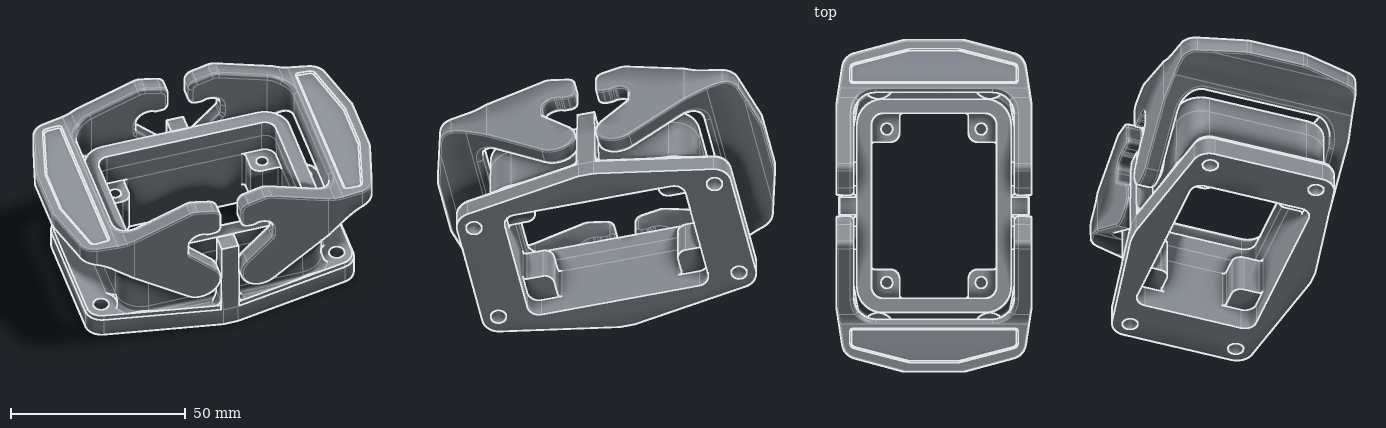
import cadquery as cq
import math

plate_half_length = 40.1
plate_half_width = 27.2
plate_end_half_width = 20.4
plate_corner_radius = 4.9
plate_height = 7.2
bevel_height = 1.1
plate_edge_height = plate_height - bevel_height
bevel_angle = 26.6
mount_x = 16.0
mount_y = 35.2
mount_hole_diameter = 4.5
spotface_radius = 4.7

housing_half_width = 22.0
housing_half_length = 30.5
housing_corner_radius = 7.4
housing_height = 30.8
draft_top = 25.6
draft_angle = 0.6
foot_radius = 1.9

cavity_half_width = 17.9
cavity_half_length = 26.4
cavity_corner_radius = 3.3
post_inner_x = 9.8
post_inner_y = 18.1
post_corner_radius = 2.8
post_root_radius = 0.95
post_bottom = 7.1
post_top = 19.7
post_hole_x = 13.5
post_hole_y = 21.9
post_hole_diameter = 3.3
post_hole_depth = 9.5

rib_half_thickness = 2.8
rib_height = 30.6
rib_face_half_width = 2.2

lever_width = 56.0
lever_half_width = lever_width / 2
lever_half_gap = 22.9
lever_end = 47.5
lever_tip = 3.0
taper_start = 29.0
handle_corner_x = 25.8
handle_corner_y = 42.8
handle_corner_radius = 4.9
handle_flat_half_width = 8.55
bridge_inner_y = 32.4
bridge_inner_radius = 6.2
pivot_z = 20.0
pivot_radius = 6.1
pivot_pin_diameter = 6.65
arm_angle = 37.2
slot_angle = 45.5
slot_end = 12.6
slot_end_radius = 3.6
slot_roof = 39.3
hook_bottom = 38.8
apex_y = 11.1
apex_z = 49.2
valley_y = 32.3
valley_z = 41.4
handle_top = 40.5
handle_bottom = 35.3
underside_bend_radius = 15.2
valley_radius = 9.5
apex_radius = 3.8
hook_top_corner = 47.2
hook_top_radius = 2.85
hook_bottom_radius = 2.1
hook_step_start = 7.0
hook_step_end = 8.3
hook_step_radius = 1.4
slot_heel_radius = 1.2
handle_flat_radius = 4.75
outer_rim_radius = 0.5
inner_rim_radius = 1.1

recess_depth = 0.5
recess_wall_angle = 45.0
recess_start = 35.0
recess_end = 44.8
recess_corner_y = 40.5
recess_half_width = 24.0
recess_flat_half_width = 7.1
recess_inner_radius = 0.95
recess_outer_radius = 1.7

tolerance = 0.01


def rounded_outline(plane, corners):
    """Closed outline through (u, v, radius) corners, each rounded by a tangent arc."""
    stops = []
    for i, (u, v, radius) in enumerate(corners):
        corner = cq.Vector(u, v)
        back = (cq.Vector(*corners[i - 1][:2]) - corner).normalized()
        ahead = (cq.Vector(*corners[(i + 1) % len(corners)][:2]) - corner).normalized()
        half_angle = back.getAngle(ahead) / 2
        setback = radius / math.tan(half_angle)
        apex_distance = radius / math.sin(half_angle) - radius
        middle = corner + (back + ahead).normalized() * apex_distance
        stops.append((corner + back * setback, middle, corner + ahead * setback, radius))
    outline = cq.Workplane(plane).moveTo(*stops[0][2].toTuple()[:2])
    here = stops[0][2]
    for start, middle, end, radius in stops[1:] + stops[:1]:
        if (start - here).Length > tolerance:
            outline = outline.lineTo(start.x, start.y)
        if radius > 0:
            outline = outline.threePointArc((middle.x, middle.y), (end.x, end.y))
        here = end
    return outline.close()


def mirrored(right):
    """Corners of a left-right symmetric outline, from its right half listed upwards."""
    return right + [(-u, v, radius) for u, v, radius in reversed(right)]


def four_fold(quarter):
    """Corners of a doubly symmetric outline, from its first quarter listed from +X to +Y."""
    return mirrored([(u, -v, radius) for u, v, radius in reversed(quarter)] + quarter)


def rounded_block(half_x, half_y, radius, bottom, top):
    block = cq.Workplane().workplane(offset=bottom).rect(2 * half_x, 2 * half_y).extrude(top - bottom)
    return block.edges("|Z").fillet(radius)


def four_corners(x, y):
    return [(x, y), (-x, y), (x, -y), (-x, -y)]


def plate_outline():
    return rounded_outline("XY", four_fold([
        (plate_half_width, rib_face_half_width, 0),
        (plate_end_half_width, plate_half_length, plate_corner_radius),
    ]))


def make_ribs():
    """One drafted bar across the part; the opening later splits it into two ribs."""
    bar = (
        cq.Workplane().workplane(offset=plate_edge_height)
        .rect(2 * plate_half_width, 2 * rib_half_thickness)
        .extrude(rib_height - plate_edge_height, taper=draft_angle)
    )
    return bar.intersect(plate_outline().extrude(rib_height))


def make_base():
    """Bevelled plate, housing and ribs, with a foot fillet that stops at the plate edge."""
    plate = plate_outline().extrude(plate_edge_height)
    bevel = plate_outline().extrude(bevel_height, taper=bevel_angle).translate((0, 0, plate_edge_height))

    upper = rounded_block(
        housing_half_width, housing_half_length, housing_corner_radius, draft_top, housing_height
    )
    lower = drafted_skirt(upper, draft_top - plate_height)
    ground = cq.Workplane().rect(3 * plate_half_width, 3 * plate_half_length).extrude(plate_height)
    ribs = make_ribs()
    foot = ground.union(upper).union(lower).union(ribs)
    ground_face = foot.faces(cq.selectors.NearestToPointSelector((0, 0, plate_height)))
    foot = ground_face.edges("not(<X or >X or <Y or >Y)").fillet(foot_radius)
    keep = plate_outline().offset2D(-bevel_height * math.tan(math.radians(bevel_angle)))
    foot = foot.intersect(keep.extrude(2 * housing_height))

    clearance = (
        cq.Workplane().workplane(offset=plate_height)
        .pushPoints(four_corners(mount_x, mount_y)).circle(spotface_radius).extrude(foot_radius)
    )
    return plate.union(bevel).union(foot).cut(clearance).union(ribs)


def drafted_skirt(block, height):
    """Walls of the block continued downwards, spreading with the draft."""
    return (
        block.faces("<Z").wires().toPending().workplane()
        .extrude(height, combine=False, taper=-draft_angle)
    )


def make_cavity():
    """Opening through the housing that leaves four corner posts standing on its walls."""
    mouth = rounded_block(
        cavity_half_width, cavity_half_length, cavity_corner_radius, draft_top, housing_height
    )
    drafted_depth = draft_top - post_top
    spread = drafted_depth * math.tan(math.radians(draft_angle))
    half_width = cavity_half_width + spread
    half_length = cavity_half_length + spread
    between_posts = rounded_outline("XY", four_fold([
        (half_width, post_inner_y, post_root_radius),
        (post_inner_x, post_inner_y, post_corner_radius),
        (post_inner_x, half_length, post_root_radius),
    ])).extrude(post_top)
    below_posts = rounded_block(half_width, half_length, cavity_corner_radius + spread, 0, post_bottom)
    return mouth.union(drafted_skirt(mouth, drafted_depth)).union(between_posts).union(below_posts)


def lever_side():
    """Lever seen along X: hook above, slot between, pivot end below and handle at the far end."""
    arm = math.radians(arm_angle)
    slot = math.radians(slot_angle)
    pivot_low = pivot_z - pivot_radius * math.tan((math.pi / 2 + arm) / 2)
    pivot_high = pivot_z + pivot_radius * math.tan((math.pi / 2 - slot) / 2)
    reach = (handle_bottom - pivot_low) / math.tan(arm)
    slot_rise = (slot_end - lever_tip) * math.tan(slot)
    return rounded_outline("YZ", [
        (lever_tip, pivot_low, pivot_radius),
        (lever_tip + reach, handle_bottom, underside_bend_radius),
        (lever_end, handle_bottom, 0),
        (lever_end, handle_top, 0),
        (valley_y, valley_z, valley_radius),
        (apex_y, apex_z, apex_radius),
        (lever_tip, hook_top_corner, hook_top_radius),
        (lever_tip, hook_bottom, hook_bottom_radius),
        (hook_step_start, hook_bottom, hook_step_radius),
        (hook_step_end, slot_roof, hook_step_radius),
        (slot_end, slot_roof, slot_end_radius),
        (slot_end, pivot_high + slot_rise, slot_heel_radius),
        (lever_tip, pivot_high, pivot_radius),
    ])


def lever_plan():
    """Lever seen from above: two arms joined by the tapered handle."""
    right = [
        (lever_half_gap, bridge_inner_y, bridge_inner_radius),
        (lever_half_gap, 0, 0),
        (lever_half_width, 0, 0),
        (lever_half_width, taper_start, 0),
        (handle_corner_x, handle_corner_y, handle_corner_radius),
        (handle_flat_half_width, lever_end, handle_flat_radius),
    ]
    return rounded_outline("XY", mirrored(right))


def runs_along(edge, direction):
    return abs(edge.tangentAt(0.5).dot(direction)) > 0.95 - tolerance


def is_inner_rim(edge):
    """Edges around the inner faces of the arms and bridge, without the seams beside the corner arcs."""
    middle = edge.positionAt(0.5)
    inside = abs(middle.x) < lever_half_gap + tolerance and middle.y < bridge_inner_y + tolerance
    near_corner = middle.y > bridge_inner_y - bridge_inner_radius - tolerance
    seam = runs_along(edge, cq.Vector(0, 0, 0.95)) and near_corner
    return inside and not seam


def is_outer_rim(edge):
    """Edges around the outer faces, without the upright seams and the lines running across the lever."""
    middle = edge.positionAt(0.5)
    if runs_along(edge, cq.Vector(0, 0, 0.95)) and middle.y > taper_start - tolerance:
        return False
    if runs_along(edge, cq.Vector(0.95, 0, 0)):
        return middle.y > lever_end - tolerance
    return not is_inner_rim(edge)


def make_recess():
    slope = math.atan2(valley_z - handle_top, lever_end - valley_y)
    handle_plane = cq.Plane(
        origin=(0, lever_end, handle_top), xDir=(1, 0, 0), normal=(0, math.sin(slope), math.cos(slope))
    )
    start = recess_start - lever_end
    right = [
        (recess_half_width, start, recess_inner_radius),
        (recess_half_width, recess_corner_y - lever_end, recess_outer_radius),
        (recess_flat_half_width, recess_end - lever_end, 0),
    ]
    return rounded_outline(handle_plane, mirrored(right)).extrude(-recess_depth, taper=recess_wall_angle)


def make_lever():
    lever = lever_side().extrude(lever_half_width, both=True).intersect(lever_plan().extrude(2 * apex_z))
    lever = lever.edges().filter(is_inner_rim).fillet(inner_rim_radius)
    lever = lever.edges().filter(is_outer_rim).fillet(outer_rim_radius)
    return lever.cut(make_recess())


def make_pivot_pins():
    pivot_y = lever_tip + pivot_radius
    span = lever_half_width + lever_half_gap
    return (
        cq.Workplane("YZ").pushPoints([(pivot_y, pivot_z), (-pivot_y, pivot_z)])
        .circle(pivot_pin_diameter / 2).extrude(span / 2, both=True)
    )


mount_holes = (
    cq.Workplane().pushPoints(four_corners(mount_x, mount_y))
    .circle(mount_hole_diameter / 2).extrude(plate_height)
)
post_holes = (
    cq.Workplane().workplane(offset=post_top).pushPoints(four_corners(post_hole_x, post_hole_y))
    .circle(post_hole_diameter / 2).extrude(-post_hole_depth)
)
lever = make_lever()

body = make_base().union(make_pivot_pins()).cut(make_cavity()).cut(mount_holes).cut(post_holes)
result = body.union(lever).union(lever.mirror("XZ"))